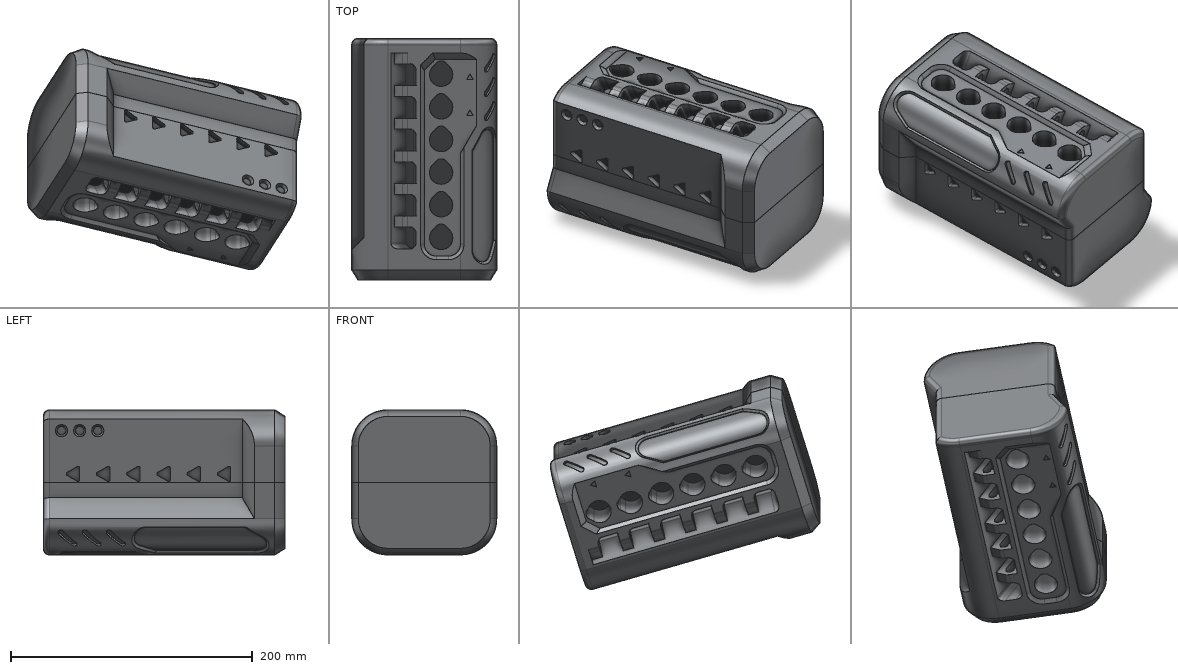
import cadquery as cq
import math

SIDE = 120.0
LENGTH = 200.0
CORNER_R = 30.0
FRONT_CHAMFER_IN = 5.5
FRONT_CHAMFER_BACK = 8.5
REAR_FILLET = 5.2

HALF = SIDE / 2
FRONT = -LENGTH / 2
REAR = LENGTH / 2
TOP = HALF
CORNER_AXIS = HALF - CORNER_R
SLANT = math.radians(30)
SIN = math.sin(SLANT)
COS = math.cos(SLANT)

RECESS_DEPTH = 10.0
RECESS_FLOOR_FRONT = -64.5
RECESS_X = -HALF + RECESS_DEPTH

BORE_R_OUT = 5.0
BORE_R_IN = 3.5
BORE_DEPTH = 3.0
BORE_Z = 42.8
BORE_COUNT = 3
BORE_PITCH = 15.0
BORE_REAR_Y = 85.0

WINDOW_COUNT = 6
WINDOW_PITCH = 25.0
WINDOW_BASE_Y = 70.0
WINDOW_Z = 7.0
WINDOW_SIDE = 14.5
WINDOW_CORNER_R = 1.5
WINDOW_DEPTH = 5.0

SLOT_COUNT = 6
SLOT_PITCH = 27.0
SLOT_LENGTH = 18.0
SLOT_WIDTH = 18.0
SLOT_DEPTH = 29.0
SLOT_LEFT_X = -27.5
SLOT_FRONT_Y = -74.0
SLOT_R = 5.0

GROOVE_DEPTH = 5.8
GROOVE_LIP_R = 8.0

ROD_R = 3.2
ROD_DEPTH = 23.5
ROD_SLOT_RUN = 10.8

PANEL_DEPTH = 3.0
PANEL_LEFT = 0.0
PANEL_RIGHT = 30.0
PANEL_FRONT = -80.0
PANEL_CORNER_R = 10.0
PANEL_REAR = 88.0
PANEL_CORNER_CUT = 10.0
PANEL_JOG_Y = 5.0
PANEL_OPEN_X = 50.0

TEAR_R = 9.5
TEAR_TIP_R = 5.0
TEAR_X = 14.0
TEAR_REAR_Y = 70.0
TEAR_BOTTOM_Z = 20.0

MARK_WIDTH = 5.2
MARK_HEIGHT = 4.5
MARK_DEPTH = 0.5
MARK_X = 37.8
MARK_BASES = [66.2, 36.5]

SKIN = 2.5
GRIP_MID_Y = -30.0
GRIP_MID_U = -1.2
GRIP_HALF_LENGTH = 54.8
GRIP_HALF_WIDTH = 12.8
GRIP_END_R = 9.5
GRIP_FLARE = 2.0

SLASH_COUNT = 3
SLASH_PITCH = 20.0
SLASH_REAR_Y = 80.0
SLASH_U = -5.8
SLASH_LENGTH = 20.2
SLASH_WIDTH = 4.5
SLASH_ANGLE = 135


def make_block():
    """Rounded bar with a recess on each side, front chamfer and rear fillet."""
    block = (cq.Workplane("XZ", origin=(0, REAR, 0)).rect(SIDE, SIDE).extrude(LENGTH)
             .edges("|Y").fillet(CORNER_R))
    front = block.faces("<Y").edges()
    block = front.chamfer(FRONT_CHAMFER_BACK, FRONT_CHAMFER_IN)
    recess = make_recess()
    block = block.cut(recess).cut(recess.rotate((0, 0, 0), (0, 1, 0), 180))
    return block.faces(">Y").edges().fillet(REAR_FILLET)


def make_recess():
    """Side recess: sloped lower bank and sloped front end."""
    lip_z = -CORNER_AXIS
    run = RECESS_DEPTH / math.tan(SLANT)
    bank = (cq.Workplane("XZ", origin=(0, REAR, 0))
            .polyline([(-HALF, lip_z), (RECESS_X, lip_z + run), (RECESS_X, HALF), (-HALF, HALF)])
            .close().extrude(LENGTH))
    end = (cq.Workplane("XY", origin=(0, 0, -HALF))
           .polyline([(-HALF, RECESS_FLOOR_FRONT - RECESS_DEPTH), (RECESS_X, RECESS_FLOOR_FRONT),
                      (RECESS_X, REAR), (-HALF, REAR)])
           .close().extrude(SIDE))
    return bank.intersect(end)


def make_bores():
    """Row of tapered round blind holes in the recess floor."""
    bores = cq.Workplane()
    for i in range(BORE_COUNT):
        y = BORE_REAR_Y - i * BORE_PITCH
        bore = cq.Solid.makeCone(BORE_R_OUT, BORE_R_IN, BORE_DEPTH,
                                 cq.Vector(RECESS_X, y, BORE_Z), cq.Vector(1, 0, 0))
        bores = bores.add(bore)
    return bores


def make_windows():
    """Row of rounded triangular blind windows pointing rearward."""
    tip = WINDOW_SIDE * COS
    windows = cq.Workplane()
    for i in range(WINDOW_COUNT):
        origin = (RECESS_X, WINDOW_BASE_Y - i * WINDOW_PITCH, WINDOW_Z)
        window = (cq.Workplane("YZ", origin=origin)
                  .polyline([(0, -WINDOW_SIDE / 2), (tip, 0), (0, WINDOW_SIDE / 2)]).close()
                  .extrude(WINDOW_DEPTH).edges("|X").fillet(WINDOW_CORNER_R))
        windows = windows.add(window)
    return windows


def leaned(shape):
    """Move a shape from the slot frame to the slot mouth.

    In the slot frame x runs across the slot, y along the row and z out along the lean.
    """
    mouth = cq.Plane(origin=(SLOT_LEFT_X, 0, TOP), xDir=(COS, 0, SIN), normal=(-SIN, 0, COS))
    return cq.Workplane(shape.val().moved(cq.Location(mouth)))


def make_floor_corner():
    """Material left outside the rounded lower left edge of the slots, in the slot frame."""
    corner = (cq.Workplane("XY", origin=(0, FRONT, -SLOT_DEPTH))
              .box(SLOT_R, LENGTH, SLOT_R, centered=False))
    drum = (cq.Workplane("XZ", origin=(SLOT_R, REAR, SLOT_R - SLOT_DEPTH))
            .circle(SLOT_R).extrude(LENGTH))
    return corner.cut(drum)


def make_slot(front_y, round_front):
    """One leaning slot with a rounded lower left edge and a rounded rear right corner."""
    slot = (cq.Workplane("XY", origin=(0, front_y, -SLOT_DEPTH))
            .box(SLOT_WIDTH, SLOT_LENGTH, SLOT_DEPTH + SLOT_WIDTH, centered=False))
    slot = slot.edges("|Z").edges(">X").edges(">Y").fillet(SLOT_R)
    if round_front:
        slot = slot.edges("|Z").edges("<Y").fillet(SLOT_R)
    return leaned(slot.cut(make_floor_corner()))


def make_groove():
    """Shallow groove over the ribs, its floor rounding over into the top."""
    start_y = SLOT_FRONT_Y + SLOT_LENGTH / 2
    end_y = SLOT_FRONT_Y + SLOT_COUNT * SLOT_PITCH
    floor_x = SLOT_LEFT_X + GROOVE_DEPTH * SIN
    floor_z = TOP - GROOVE_DEPTH * COS
    lip_z = TOP - GROOVE_LIP_R * (1 - COS)
    lip_x = floor_x + (lip_z - floor_z) / math.tan(SLANT)
    end_x = lip_x + GROOVE_LIP_R * SIN
    mid_x = end_x - GROOVE_LIP_R * math.sin(SLANT / 2)
    mid_z = TOP - GROOVE_LIP_R * (1 - math.cos(SLANT / 2))
    return (cq.Workplane("XZ", origin=(0, end_y, 0))
            .moveTo(SLOT_LEFT_X, TOP).lineTo(floor_x, floor_z).lineTo(lip_x, lip_z)
            .threePointArc((mid_x, mid_z), (end_x, TOP)).close()
            .extrude(end_y - start_y))


def make_rod_passage():
    """Elongated openings through the ribs and a round blind seat behind the last slot."""
    last_y = SLOT_FRONT_Y + (SLOT_COUNT - 1) * SLOT_PITCH + SLOT_LENGTH / 2
    first_y = SLOT_FRONT_Y + SLOT_LENGTH / 2
    seat_y = SLOT_FRONT_Y + SLOT_COUNT * SLOT_PITCH
    mid_x = SLOT_WIDTH / 2
    opening = (cq.Workplane("XZ", origin=(mid_x, last_y, -ROD_DEPTH + ROD_SLOT_RUN / 2))
               .slot2D(ROD_SLOT_RUN + 2 * ROD_R, 2 * ROD_R, 90).extrude(last_y - first_y))
    seat = (cq.Workplane("XZ", origin=(mid_x, seat_y, -ROD_DEPTH))
            .circle(ROD_R).extrude(seat_y - last_y))
    return leaned(opening.union(seat))


def make_panel():
    """Sunken panel with banked sides, open toward the +X corner."""
    bank = PANEL_DEPTH
    rear_bank = PANEL_DEPTH / math.tan(SLANT)
    top_left = PANEL_LEFT - bank
    diagonal = PANEL_REAR - PANEL_CORNER_CUT - top_left

    def jog(x):
        return PANEL_JOG_Y + (x - PANEL_RIGHT) / math.tan(SLANT)

    def outline(z, grow, rear, cut):
        left = PANEL_LEFT - grow
        right = PANEL_RIGHT + grow
        front = PANEL_FRONT - grow
        r = PANEL_CORNER_R + grow
        d = r * (1 - math.sqrt(0.5))
        return (cq.Workplane("XY", origin=(0, 0, z)).moveTo(left, front + r)
                .threePointArc((left + d, front + d), (left + r, front))
                .lineTo(right - r, front)
                .threePointArc((right - d, front + d), (right, front + r))
                .lineTo(right, jog(right)).lineTo(PANEL_OPEN_X, jog(PANEL_OPEN_X))
                .lineTo(PANEL_OPEN_X, rear).lineTo(rear - cut, rear)
                .lineTo(left, left + cut).close().val())

    floor = outline(TOP - bank, 0, PANEL_REAR - rear_bank, diagonal - rear_bank * math.sqrt(2))
    rim = outline(TOP, bank, PANEL_REAR, diagonal)
    return cq.Workplane(cq.Solid.makeLoft([floor, rim], True))


def make_teardrops():
    """Row of deep teardrop holes with rounded tips toward the rear."""
    side = TEAR_R * math.sqrt(0.5)
    tip_y = TEAR_R * math.sqrt(2)
    holes = cq.Workplane()
    for i in range(SLOT_COUNT):
        y = TEAR_REAR_Y - i * SLOT_PITCH
        hole = (cq.Workplane("XY", origin=(TEAR_X, y, TEAR_BOTTOM_Z))
                .moveTo(-side, side).threePointArc((0, -TEAR_R), (side, side))
                .lineTo(0, tip_y).close().extrude(TOP - TEAR_BOTTOM_Z)
                .edges("|Z").edges(">Y").fillet(TEAR_TIP_R))
        holes = holes.add(hole)
    return holes


def make_marks():
    """Small triangular marks sunk into the panel floor."""
    marks = cq.Workplane()
    for y in MARK_BASES:
        mark = (cq.Workplane("XY", origin=(MARK_X, y, TOP - PANEL_DEPTH - MARK_DEPTH))
                .polyline([(-MARK_WIDTH / 2, 0), (MARK_WIDTH / 2, 0), (0, MARK_HEIGHT)]).close()
                .extrude(PANEL_DEPTH + MARK_DEPTH))
        marks = marks.add(mark)
    return marks


def grip_outline():
    """Slanted grip pocket outline: x along the length, y sideways over the corner."""
    r = GRIP_END_R
    w = GRIP_HALF_WIDTH
    round_x = GRIP_HALF_LENGTH - r
    round_y = r - w
    touch = (round_x + r * SIN, round_y + r * COS)
    edge_x = touch[0] - (w - touch[1]) / math.tan(SLANT)
    turn = -SLANT / 2
    mid = (round_x + r * math.cos(turn), round_y + r * math.sin(turn))
    start = (round_x, -w)

    def opposite(p):
        return (-p[0], -p[1])

    return (cq.Workplane("XY").moveTo(*opposite((edge_x, w))).lineTo(*start)
            .threePointArc(mid, touch).lineTo(edge_x, w).lineTo(*opposite(start))
            .threePointArc(opposite(mid), opposite(touch)).close())


def round_bar(radius):
    """Full-length bar centred on the axis of a long corner, in the corner frame."""
    return cq.Workplane("YZ", origin=(FRONT, 0, 0)).circle(radius).extrude(LENGTH)


def make_grip():
    """Flared pocket sunk to a constant depth below the +X +Z corner, and its slashes.

    In the corner frame x runs along the length, y over the corner and z outward.
    """
    core = round_bar(CORNER_R - SKIN)
    bar = round_bar(CORNER_R)
    pocket = grip_outline().extrude(SIDE).translate((GRIP_MID_Y, GRIP_MID_U, 0)).cut(core)
    sunk = bar.cut(pocket).val()
    skin = max(sunk.Faces(), key=lambda face: face.Area())
    rim = skin.innerWires()[0].Edges()
    tools = bar.cut(cq.Workplane(sunk.chamfer(GRIP_FLARE, None, rim)))
    for i in range(SLASH_COUNT):
        slash = (cq.Workplane("XY", origin=(SLASH_REAR_Y - i * SLASH_PITCH, SLASH_U, 0))
                 .slot2D(SLASH_LENGTH, SLASH_WIDTH, SLASH_ANGLE).extrude(SIDE).cut(core))
        tools = tools.union(slash)
    corner = cq.Plane(origin=(CORNER_AXIS, 0, CORNER_AXIS), xDir=(0, 1, 0), normal=(1, 0, 1))
    return cq.Workplane(tools.val().moved(cq.Location(corner)))


def make_half_shell(turn):
    """One half of the housing, turned about the length axis."""
    above = cq.Workplane("XY").box(SIDE, LENGTH, HALF, centered=(True, True, False))
    half = make_block().intersect(above)
    for i in range(SLOT_COUNT):
        half = half.cut(make_slot(SLOT_FRONT_Y + i * SLOT_PITCH, i == 0))
    half = half.cut(make_groove()).cut(make_rod_passage())
    half = half.cut(make_panel()).cut(make_teardrops()).cut(make_marks())
    half = half.cut(make_windows()).cut(make_bores()).cut(make_grip())
    return half.rotate((0, 0, 0), (0, 1, 0), turn)


half_shells = [make_half_shell(turn) for turn in (0, 180)]
result = cq.Compound.makeCompound([shell.val() for shell in half_shells])